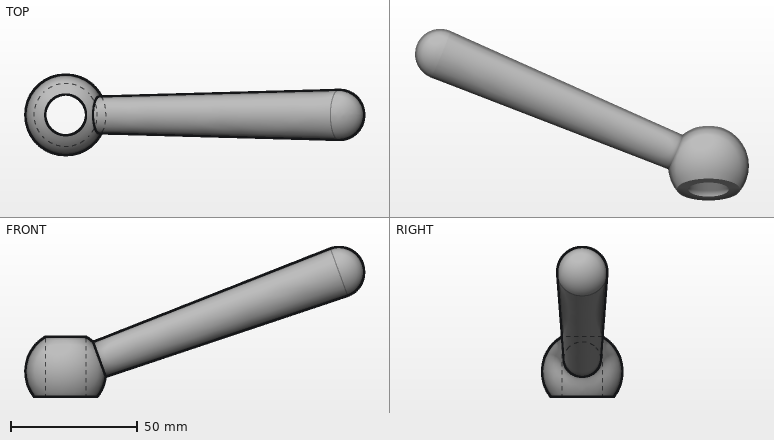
import cadquery as cq
import math

BALL_RADIUS = 16.0
BASE_DEPTH = 10.0
BORE_DIAMETER = 16.0

HANDLE_ANGLE = 20.0
TIP_DISTANCE = 115.0
TIP_RADIUS = 10.0
ROOT_RADIUS = 7.0


def make_ball():
    """Ball with its underside cut flat."""
    base_cutter = (
        cq.Workplane("XY")
        .workplane(offset=-BASE_DEPTH)
        .rect(2 * BALL_RADIUS, 2 * BALL_RADIUS)
        .extrude(-BALL_RADIUS)
    )
    return cq.Workplane("XY").sphere(BALL_RADIUS).cut(base_cutter)


def make_handle():
    """Half profile revolved about X, then tilted up about the ball centre."""
    arc_rise = TIP_RADIUS * math.sqrt(0.5)
    profile = (
        cq.Workplane("XZ")
        .lineTo(0, ROOT_RADIUS)
        .lineTo(TIP_DISTANCE, TIP_RADIUS)
        .threePointArc((TIP_DISTANCE + arc_rise, arc_rise), (TIP_DISTANCE + TIP_RADIUS, 0))
        .close()
    )
    handle = profile.revolve(360, (0, 0, 0), (1, 0, 0))
    return handle.rotate((0, 0, 0), (0, 1, 0), -HANDLE_ANGLE)


def make_bore():
    """Cylinder long enough to pass right through the ball."""
    return cq.Workplane("XY").circle(BORE_DIAMETER / 2).extrude(BALL_RADIUS, both=True)


result = make_ball().union(make_handle()).cut(make_bore())